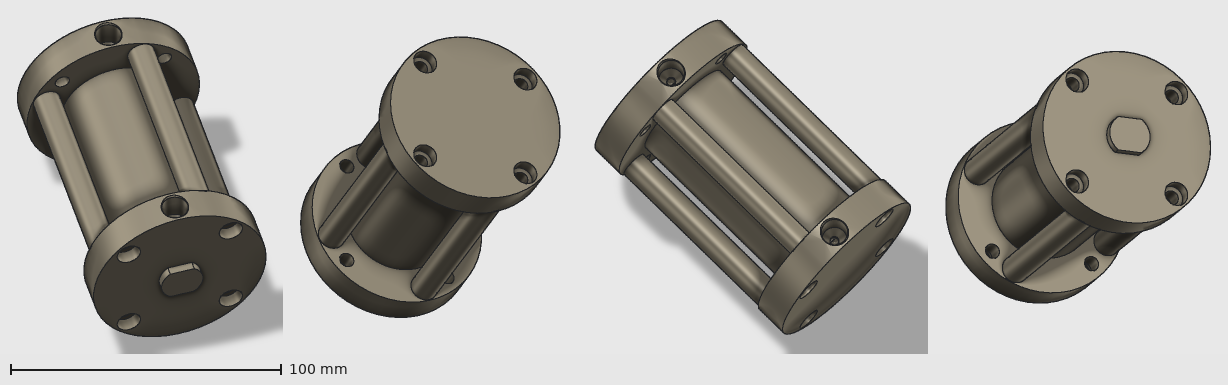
import cadquery as cq
import math

total_length = 101.8

cap_diameter = 66.5
cap_thickness = 12.7
front_cap_start = 86.0

barrel_diameter = 39.7
seat_depth = 5.5

bolt_circle_diameter = 55.6
tie_rod_diameter = 10.3
tie_rod_angle = 67.5
screw_hole_diameter = 5.5
screw_head_diameter = 9.0
screw_head_depth = 5.1
screw_angle = 45.0

port_diameter = 9.8
port_floor_diameter = 9.3
port_mouth_diameter = 10.9
port_depth = 10.2
passage_diameter = 3.3
passage_depth = 13.7
drill_point_angle = 118.0

rod_end_diameter = 16.0
rod_end_across_flats = 13.0

cap_radius = cap_diameter / 2
front_face = front_cap_start + cap_thickness
rod_end_length = total_length - front_face
gap_between_caps = front_cap_start - cap_thickness
barrel_start = cap_thickness - seat_depth
barrel_length = gap_between_caps + 2 * seat_depth


def cylinder_along_x(diameter, start, length, y=0.0, z=0.0):
    """Cylinder parallel to X that begins at X = start; a negative length runs toward -X."""
    return cq.Workplane("YZ", origin=(start, y, z)).circle(diameter / 2).extrude(length)


def bolt_circle_places(first_angle):
    """Four (y, z) places a quarter turn apart, the angle measured from +Y toward +Z."""
    radius = bolt_circle_diameter / 2
    angles = [math.radians(first_angle + 90 * quarter) for quarter in range(4)]
    return [(radius * math.cos(angle), radius * math.sin(angle)) for angle in angles]


def drill_point_height(radius_change):
    """Height over which a drill point narrows by the given radius."""
    return radius_change / math.tan(math.radians(drill_point_angle / 2))


def port_cutter(x):
    """Stepped port drilled down from the cap rim: 45-degree mouth, tapered bore and narrow passage."""
    mouth_radius = port_mouth_diameter / 2
    bore_radius = port_diameter / 2
    floor_radius = port_floor_diameter / 2
    passage_radius = passage_diameter / 2
    chamfer_end = cap_radius - (mouth_radius - bore_radius)
    bore_end = cap_radius - port_depth
    passage_top = bore_end - drill_point_height(floor_radius - passage_radius)
    passage_end = cap_radius - passage_depth
    tip = passage_end - drill_point_height(passage_radius)
    half_profile = (
        cq.Workplane("XZ", origin=(x, 0, 0))
        .moveTo(0, cap_radius)
        .lineTo(mouth_radius, cap_radius)
        .lineTo(bore_radius, chamfer_end)
        .lineTo(floor_radius, bore_end)
        .lineTo(passage_radius, passage_top)
        .lineTo(passage_radius, passage_end)
        .lineTo(0, tip)
        .close()
    )
    return half_profile.revolve(360, (0, 0), (0, 1))


def end_cap(outer_face, inward):
    """Cap with counterbored screw holes, a barrel seat and a port; inward is +1 or -1 along X."""
    inner_face = outer_face + inward * cap_thickness
    cap = cylinder_along_x(cap_diameter, outer_face, inward * cap_thickness)
    for y, z in bolt_circle_places(screw_angle):
        cap = cap.cut(cylinder_along_x(screw_hole_diameter, outer_face, inward * cap_thickness, y, z))
        cap = cap.cut(cylinder_along_x(screw_head_diameter, outer_face, inward * screw_head_depth, y, z))
    cap = cap.cut(cylinder_along_x(barrel_diameter, inner_face, -inward * seat_depth))
    return cap.cut(port_cutter((outer_face + inner_face) / 2))


def tie_rod(y, z):
    """Round rod that spans the gap between the caps."""
    return cylinder_along_x(tie_rod_diameter, cap_thickness, gap_between_caps, y, z)


def rod_end():
    """Short round end on the front cap, cut to two flats facing +Z and -Z."""
    between_flats = (
        cq.Workplane("YZ", origin=(front_face, 0, 0))
        .rect(rod_end_diameter, rod_end_across_flats)
        .extrude(rod_end_length)
    )
    return cylinder_along_x(rod_end_diameter, front_face, rod_end_length).intersect(between_flats)


rear_cap = end_cap(0.0, 1)
front_cap = end_cap(front_face, -1)
barrel = cylinder_along_x(barrel_diameter, barrel_start, barrel_length)
tie_rods = [tie_rod(y, z).val() for y, z in bolt_circle_places(tie_rod_angle)]
piston_rod_end = rod_end()

result = cq.Compound.makeCompound(
    [rear_cap.val(), front_cap.val(), barrel.val(), *tie_rods, piston_rod_end.val()]
)